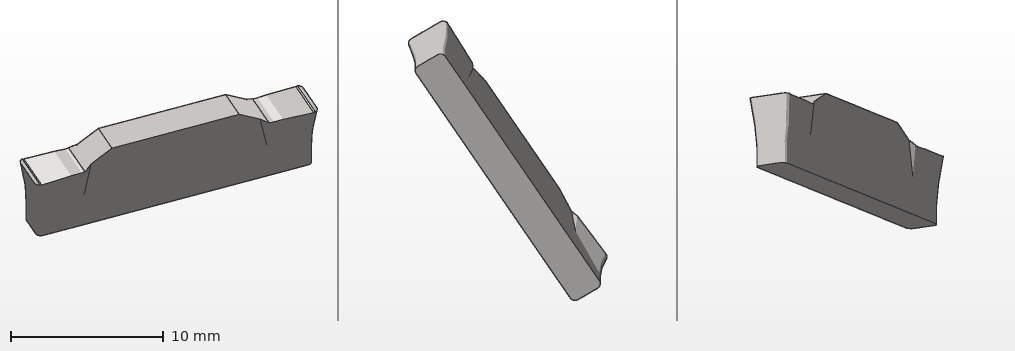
import cadquery as cq
import math

length = 20.15
height = 5.78
body_half_width = 2.28 / 2
tip_y = length / 2
crown_half_length = 4.53
ramp_angle = 30.0

tip_z = 4.61
relief_angle = 7.8
flank_bottom_z = 3.02
heel_top_z = 2.54
corner_radius = 0.38
search_margin = 0.002

foot_y = 9.43
foot_z = 1.33
neck_y = 6.5
neck_z = 2.54
side_angle = 6.2
neck_shoulder_y = 6.49
neck_top_y = 6.02
neck_blend_radius = 0.25
head_top_z = 4.94
blank_end_y = tip_y + 0.2

chip_groove = [
    (0.26, 0.0),
    (0.38, 0.05),
    (1.47, 0.02),
    (2.52, 0.0),
    (3.16, 0.02),
    (3.3, 0.02),
    (3.43, 0.0),
]


def end_outline():
    """Return flank bottom, blend midpoint and heel top of the end relief, in (y, z)."""
    slope = math.radians(relief_angle)
    flank_y = tip_y - (tip_z - flank_bottom_z) * math.tan(slope)
    blend_radius = (flank_bottom_z - heel_top_z) / math.sin(slope)
    heel_y = flank_y - blend_radius * (1 - math.cos(slope))
    middle = (
        heel_y + blend_radius * (1 - math.cos(slope / 2)),
        heel_top_z + blend_radius * math.sin(slope / 2),
    )
    return (flank_y, flank_bottom_z), middle, (heel_y, heel_top_z)


def half_profile():
    """Extrude the +Y half of the side profile, wide enough for the heads."""
    flank, blend_middle, heel = end_outline()
    ramp_run = (height - tip_z) / math.tan(math.radians(ramp_angle))
    groove = [(tip_y - inset, tip_z - depth) for inset, depth in chip_groove]
    outline = (
        cq.Workplane("YZ")
        .moveTo(0, 0)
        .lineTo(0, height)
        .lineTo(crown_half_length, height)
        .lineTo(crown_half_length + ramp_run, tip_z)
    )
    for point in reversed(groove):
        outline = outline.lineTo(*point)
    return (
        outline.lineTo(tip_y, tip_z)
        .lineTo(*flank)
        .threePointArc(blend_middle, heel)
        .lineTo(heel[0], 0)
        .close()
        .extrude(2 * body_half_width, both=True)
    )


def solid_from_faces(faces):
    """Build a solid from flat faces given as lists of corner points."""
    shell = cq.Shell.makeShell(
        [
            cq.Face.makeFromWires(cq.Wire.makePolygon([cq.Vector(*p) for p in corners], close=True))
            for corners in faces
        ]
    )
    return cq.Workplane(obj=cq.Solid.makeSolid(shell))


def head_cheek():
    """Return the wedge that widens the head beyond the body on its +X side."""
    foot_slope = (neck_z - foot_z) / (foot_y - neck_y)
    rise = math.tan(math.radians(side_angle))

    def foot_line_z(y):
        return foot_z + (foot_y - y) * foot_slope

    def side_x(y):
        return body_half_width + rise * (head_top_z - foot_line_z(y))

    neck = (body_half_width, neck_y, neck_z)
    foot = (body_half_width, blank_end_y, foot_line_z(blank_end_y))
    root_inner = (body_half_width, neck_top_y, head_top_z)
    root_outer = (body_half_width, blank_end_y, head_top_z)
    rim_inner = (side_x(neck_shoulder_y), neck_shoulder_y, head_top_z)
    rim_outer = (side_x(blank_end_y), blank_end_y, head_top_z)
    cheek = solid_from_faces(
        [
            [neck, foot, rim_outer, rim_inner],
            [neck, rim_inner, root_inner],
            [root_inner, rim_inner, rim_outer, root_outer],
            [foot, root_outer, rim_outer],
            [neck, root_inner, root_outer, foot],
        ]
    )
    shoulder_middle = tuple((a + b) / 2 for a, b in zip(neck, rim_inner))
    shoulder = cq.selectors.NearestToPointSelector(shoulder_middle)
    return cheek.edges(shoulder).fillet(neck_blend_radius)


def half_part():
    """Return the +Y half of the part with both cheeks and rounded corners."""
    cheek = head_cheek()
    body = cq.Workplane("XY").box(
        2 * body_half_width, blank_end_y, height, centered=(True, False, False)
    )
    blank = body.union(cheek).union(cheek.mirror("YZ"))
    half = blank.intersect(half_profile())
    end_y = end_outline()[2][0]
    corners = cq.selectors.BoxSelector(
        (-2 * body_half_width, end_y - search_margin, 0), (2 * body_half_width, tip_y, tip_z - search_margin)
    )
    return half.edges(corners).edges("not |X").fillet(corner_radius)


half = half_part()
result = half.union(half.mirror("XZ")).clean()